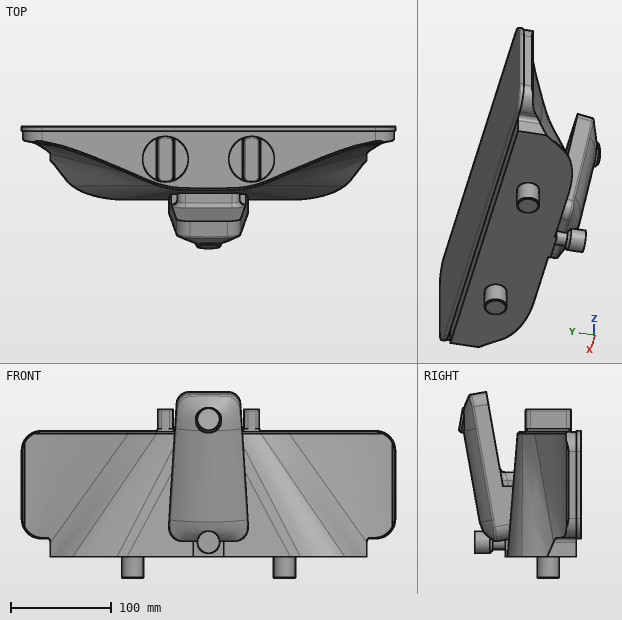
import cadquery as cq
import math


BACK_WIDTH = 370.6
LIP_DEPTH = 4.7
LIP_OFFSET = 1.2
LIP_TOP = 125.0
LIP_ROUND = 1.0
HOUSING_HEIGHT = LIP_TOP - LIP_OFFSET
WING_BOTTOM = 19.0
WING_CORNER = 19.0
SKIRT_HALF_WIDTH = 156.8
SKIRT_CORNER = 4.5
WING_EDGE_DEPTH = 14.5
RIM_BEVEL = 2.0
LIP_HALF_WIDTH = BACK_WIDTH / 2
WING_HALF_WIDTH = LIP_HALF_WIDTH - LIP_OFFSET

TOP_STRETCHES = [
    ([(-164, 16.8), (-116, 31.4), (-80, 46.4)], 0.43),
    ([(-52, 58.2)], 0.34),
    ([(-28, 62.9)], 0.06),
    ([(-16, 63.2)], 0.0),
]
BOTTOM_STRETCHES = [
    ([(-167, 25.0)], 0.95),
    ([(-157, 33.5), (-135, 59.0)], 0.75),
    ([(-114, 68.8), (-91, 72.6)], 0.07),
    ([(-81, 73.0)], 0.0),
]
WING_EDGE_SLOPE = 0.10

KNOB_X = 42.7
KNOB_DEPTH = 32.6
KNOB_RADIUS = 22.6
KNOB_WIDTH = 15.3
KNOB_BASE_WIDTH = 19.0
KNOB_BASE_HEIGHT = 3.0
KNOB_TOP = 146.4
KNOB_CORNER = 4.5
KNOB_EDGE = 1.5
KNOB_DISC_HEIGHT = 0.4

PIPE_X = 75.2
PIPE_DEPTH = 32.7
PIPE_RADIUS = 11.0
PIPE_LENGTH = 21.2
PIPE_CHAMFER = 1.0

NOZZLE_Z = 14.5
PAD_RADIUS = 15.0
NOZZLE_BACK = 55.0
PAD_FRONT = 75.2
STEM_RADIUS = 7.3
CAP_RADIUS = 11.0
CAP_BACK = 87.5
CAP_FRONT = 105.6
CAP_CHAMFER = 3.0

LEVER_TILT = 10.0
LEVER_TOP = 163.5
LEVER_BOTTOM = 15.0
LEVER_TOP_HALF_WIDTH = 31.0
LEVER_BOTTOM_HALF_WIDTH = 40.2
LEVER_TOP_CORNER = 13.0
LEVER_BOTTOM_CORNER = 14.0
LEVER_TOP_BACK = 94.0
LEVER_SIDE_THICKNESS = 16.0
LEVER_CROWN = 13.0
LEVER_EDGE = 2.5
LEVER_SPARE_WIDTH = 2.0
LEVER_ROOT = 12.0
ARM_START = 3.0
HEEL_END = 25.0
HEAD_START = 116.8
ARM_END = (LEVER_TOP - LEVER_BOTTOM) / math.cos(math.radians(LEVER_TILT))
CROWN_FALL = 0.94
CROWN_POWER = 2.3
END_STEPS = 4
SHOULDER_Z = 69.7
BOSS_TOP = 84.0
BOSS_HALF_WIDTH = 31.0
BOSS_CORNER = 8.0
BOSS_FILLET = 5.0
BOSS_BACK = 55.0

BUTTON_Z = 136.3
BUTTON_RADIUS = 12.8
BUTTON_FACE_RADIUS = 11.0
BUTTON_HEIGHT = 2.6
BUTTON_ROOT = 6.0
PART_DEPTH = 121.22

PICK_MARGIN = 1.0


def at_depth(x, depth, z):
    """Point at a given distance in front of the mounting face."""
    return cq.Vector(x, -depth, z)


def half_section(stretches, z, setback=0):
    """Closed outline of the left half of the housing at height z, its front moved back by setback."""
    edge_depth = WING_EDGE_DEPTH - setback
    here = at_depth(RIM_BEVEL - WING_HALF_WIDTH, edge_depth, z)
    corners = [
        at_depth(0, LIP_DEPTH, z),
        at_depth(-WING_HALF_WIDTH, LIP_DEPTH, z),
        at_depth(-WING_HALF_WIDTH, edge_depth - RIM_BEVEL, z),
        here,
    ]
    edges = [cq.Edge.makeLine(a, b) for a, b in zip(corners, corners[1:])]
    slope = WING_EDGE_SLOPE
    for points, end_slope in stretches:
        nodes = [here] + [at_depth(x, depth - setback, z) for x, depth in points]
        tangents = [cq.Vector(1, -slope, 0), cq.Vector(1, -end_slope, 0)]
        edges.append(cq.Edge.makeSpline(nodes, tangents=tangents))
        here, slope = nodes[-1], end_slope
    middle = cq.Vector(0, here.y, z)
    edges.append(cq.Edge.makeLine(here, middle))
    edges.append(cq.Edge.makeLine(middle, corners[0]))
    return cq.Wire.assembleEdges(edges)


def rounded_plate(half_width, bottom, top, corner, back, front):
    """Upright plate with rounded corners between two depths."""
    return (
        cq.Workplane("XZ", origin=(0, -back, 0))
        .center(0, (bottom + top) / 2)
        .rect(2 * half_width, top - bottom)
        .extrude(front - back)
        .edges("|Y").fillet(corner)
    )


def make_housing():
    bottom = half_section(BOTTOM_STRETCHES, 0)
    rim = half_section(TOP_STRETCHES, HOUSING_HEIGHT - RIM_BEVEL)
    top = half_section(TOP_STRETCHES, HOUSING_HEIGHT, setback=RIM_BEVEL)
    left = cq.Workplane(cq.Solid.makeLoft([bottom, rim], True))
    left = left.union(cq.Workplane(cq.Solid.makeLoft([rim, top], True)))
    body = left.union(left.mirror("YZ"))

    wings = rounded_plate(WING_HALF_WIDTH, WING_BOTTOM, HOUSING_HEIGHT, WING_CORNER, 0, PART_DEPTH)
    skirt_height = (WING_BOTTOM + HOUSING_HEIGHT) / 2
    skirt = (
        cq.Workplane("XY", origin=(0, -PART_DEPTH / 2, 0))
        .rect(2 * SKIRT_HALF_WIDTH, PART_DEPTH)
        .extrude(skirt_height)
    )
    outline = wings.union(skirt)
    inner_corners = cq.selectors.BoxSelector(
        (-SKIRT_HALF_WIDTH - PICK_MARGIN, -PART_DEPTH, WING_BOTTOM - PICK_MARGIN),
        (SKIRT_HALF_WIDTH + PICK_MARGIN, 0, WING_BOTTOM + PICK_MARGIN),
    )
    outline = outline.edges("|Y").edges(inner_corners).fillet(SKIRT_CORNER)
    return body.intersect(outline)


def make_lip():
    lip = rounded_plate(
        LIP_HALF_WIDTH, WING_BOTTOM - LIP_OFFSET, LIP_TOP, WING_CORNER + LIP_OFFSET, 0, LIP_DEPTH
    )
    return lip.faces("<Y or >Y").edges().fillet(LIP_ROUND)


def make_knob(x):
    height = KNOB_TOP - HOUSING_HEIGHT
    barrel = cq.Workplane("XY").circle(KNOB_RADIUS).extrude(height)
    grip = (
        cq.Workplane("XY")
        .rect(KNOB_WIDTH, 2 * KNOB_RADIUS)
        .extrude(height)
        .intersect(barrel)
        .edges("|Z").fillet(KNOB_CORNER)
        .faces(">Z").edges().fillet(KNOB_EDGE)
    )
    foot = (
        cq.Workplane("XY")
        .rect(KNOB_BASE_WIDTH, 2 * KNOB_RADIUS)
        .workplane(offset=KNOB_BASE_HEIGHT)
        .rect(KNOB_WIDTH, 2 * KNOB_RADIUS)
        .loft()
        .intersect(barrel)
    )
    disc = cq.Workplane("XY").circle(KNOB_RADIUS).extrude(KNOB_DISC_HEIGHT)
    return grip.union(foot).union(disc).translate((x, -KNOB_DEPTH, HOUSING_HEIGHT))


def make_pipe(x):
    pipe = cq.Workplane("XY").circle(PIPE_RADIUS).extrude(-PIPE_LENGTH)
    return pipe.faces("<Z").chamfer(PIPE_CHAMFER).translate((x, -PIPE_DEPTH, 0))


def make_nozzle():
    pad = (
        cq.Workplane("XZ", origin=(0, -NOZZLE_BACK, 0))
        .moveTo(-PAD_RADIUS, 0)
        .lineTo(PAD_RADIUS, 0)
        .lineTo(PAD_RADIUS, NOZZLE_Z)
        .threePointArc((0, NOZZLE_Z + PAD_RADIUS), (-PAD_RADIUS, NOZZLE_Z))
        .close()
        .extrude(PAD_FRONT - NOZZLE_BACK)
    )
    stem = (
        cq.Workplane("XZ", origin=(0, -NOZZLE_BACK, NOZZLE_Z))
        .circle(STEM_RADIUS)
        .extrude(CAP_FRONT - NOZZLE_BACK)
    )
    cap = (
        cq.Workplane("XZ", origin=(0, -CAP_BACK, NOZZLE_Z))
        .circle(CAP_RADIUS)
        .extrude(CAP_FRONT - CAP_BACK)
        .faces(">Y").chamfer(CAP_CHAMFER)
    )
    return pad.union(stem).union(cap)


def lever_back(z):
    """Depth of the tilted back face of the lever at height z."""
    return LEVER_TOP_BACK - (LEVER_TOP - z) * math.tan(math.radians(LEVER_TILT))


def arm_crown(u):
    """Height of the arched front at distance u along the arm, falling off at head and heel."""
    if u > HEAD_START:
        fraction = (u - HEAD_START) / (ARM_END - HEAD_START)
    elif u < HEEL_END:
        fraction = (HEEL_END - u) / (HEEL_END - ARM_START)
    else:
        fraction = 0
    return LEVER_CROWN * (1 - CROWN_FALL * fraction**CROWN_POWER)


def arm_section(u):
    """Cross-section of the arm at distance u, a little wider than the arm's outline."""
    taper = (u - ARM_START) / (ARM_END - ARM_START)
    half_width = LEVER_BOTTOM_HALF_WIDTH + (LEVER_TOP_HALF_WIDTH - LEVER_BOTTOM_HALF_WIDTH) * taper
    crown = arm_crown(u)
    radius = (half_width**2 + crown**2) / (2 * crown)
    wide = half_width + LEVER_SPARE_WIDTH
    crest = LEVER_SIDE_THICKNESS + crown
    edge = crest - radius + math.sqrt(radius**2 - wide**2)
    back_left, back_right = at_depth(-wide, -LEVER_ROOT, u), at_depth(wide, -LEVER_ROOT, u)
    left, right = at_depth(-wide, edge, u), at_depth(wide, edge, u)
    return cq.Wire.assembleEdges([
        cq.Edge.makeLine(back_right, back_left),
        cq.Edge.makeLine(back_left, left),
        cq.Edge.makeThreePointArc(left, at_depth(0, crest, u), right),
        cq.Edge.makeLine(right, back_right),
    ])


def arm_piece(start, end, steps):
    stations = [start + (end - start) * i / steps for i in range(steps + 1)]
    return cq.Workplane(cq.Solid.makeLoft([arm_section(u) for u in stations]))


def make_lever():
    arm = arm_piece(ARM_START, HEEL_END, END_STEPS)
    arm = arm.union(arm_piece(HEEL_END, HEAD_START, 1))
    arm = arm.union(arm_piece(HEAD_START, ARM_END, END_STEPS))
    outline = (
        cq.Workplane("XZ", origin=(0, LEVER_ROOT, 0))
        .polyline([
            (-LEVER_BOTTOM_HALF_WIDTH, ARM_START),
            (LEVER_BOTTOM_HALF_WIDTH, ARM_START),
            (LEVER_TOP_HALF_WIDTH, ARM_END),
            (-LEVER_TOP_HALF_WIDTH, ARM_END),
        ])
        .close()
        .extrude(PART_DEPTH)
    )
    outline = outline.edges("|Y").edges(">Z").fillet(LEVER_TOP_CORNER)
    outline = outline.edges("|Y").edges("<Z").fillet(LEVER_BOTTOM_CORNER)
    arm = arm.intersect(outline)
    front_rim = cq.selectors.BoxSelector(
        (-PART_DEPTH, -LEVER_SIDE_THICKNESS - LEVER_CROWN / 2, ARM_START - PICK_MARGIN),
        (PART_DEPTH, -LEVER_SIDE_THICKNESS / 2, ARM_END + PICK_MARGIN),
        boundingbox=True,
    )
    arm = arm.edges(front_rim).fillet(LEVER_EDGE)
    arm = arm.rotate((0, 0, 0), (1, 0, 0), LEVER_TILT)
    arm = arm.translate((0, -lever_back(LEVER_BOTTOM), LEVER_BOTTOM))

    gap = (
        cq.Workplane("YZ")
        .moveTo(-lever_back(SHOULDER_Z), SHOULDER_Z)
        .lineTo(0, SHOULDER_Z)
        .lineTo(0, 2 * LEVER_TOP)
        .lineTo(-lever_back(2 * LEVER_TOP), 2 * LEVER_TOP)
        .close()
        .extrude(PART_DEPTH, both=True)
    )
    lever = arm.cut(gap).union(make_boss())
    boss_joint = cq.selectors.NearestToPointSelector((0, -lever_back(BOSS_TOP), BOSS_TOP))
    return lever.edges(boss_joint).fillet(BOSS_FILLET)


def make_boss():
    """Rounded block joining the back of the lever to the housing above the shoulder."""
    reach = lever_back(BOSS_TOP) + LEVER_SIDE_THICKNESS / 2
    return rounded_plate(
        BOSS_HALF_WIDTH, SHOULDER_Z - 2 * BOSS_CORNER, BOSS_TOP, BOSS_CORNER, BOSS_BACK, reach
    )


def make_button():
    tilt = math.radians(LEVER_TILT)
    face_depth = PART_DEPTH - BUTTON_FACE_RADIUS * math.sin(tilt)
    button = cq.Workplane("XZ").circle(BUTTON_RADIUS).workplane(offset=BUTTON_HEIGHT)
    button = button.circle(BUTTON_FACE_RADIUS).loft()
    root = cq.Workplane("XZ").circle(BUTTON_RADIUS).extrude(-BUTTON_ROOT)
    button = button.union(root).translate((0, BUTTON_HEIGHT, 0))
    return button.rotate((0, 0, 0), (1, 0, 0), -LEVER_TILT).translate((0, -face_depth, BUTTON_Z))


result = make_housing().union(make_lip())
for side in (-1, 1):
    result = result.union(make_knob(side * KNOB_X))
    result = result.union(make_pipe(side * PIPE_X))
for feature in (make_nozzle(), make_lever(), make_button()):
    result = result.union(feature)